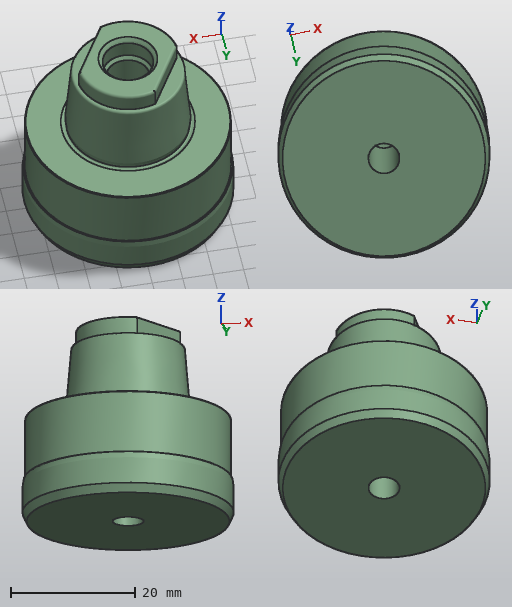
import cadquery as cq
import math

TOTAL_HEIGHT = 31.95
BODY_HEIGHT = 17.0
BOSS_HEIGHT = 2.95
SHOULDER_Z = TOTAL_HEIGHT - BOSS_HEIGHT

COLLAR_RADIUS = 17.01
BOTTOM_CHAMFER_WIDTH = 0.7
BOTTOM_CHAMFER_HEIGHT = 1.45
COLLAR_BEVEL_START_Z = 5.7
COLLAR_BEVEL_END_Z = 6.75
COLLAR_BEVEL_WIDTH = 0.15

BODY_RADIUS = 16.6
BODY_EDGE_CHAMFER = 0.15

NECK_FOOT_RADIUS = 10.0
NECK_BASE_RADIUS = 10.1
NECK_TOP_RADIUS = 9.15
NECK_FOOT_TOP_Z = BODY_HEIGHT + 0.4
NECK_BASE_Z = BODY_HEIGHT + 1.0
NECK_TOP_FILLET = 0.42
GROOVE_RADIUS = 10.8
GROOVE_DEPTH = 0.3
GROOVE_FILLET = 0.25

BOSS_RADIUS = 8.42
FLAT_WIDTH = 13.0
FLAT_NORMAL_ANGLE = -30.0
BOSS_FILLET = 0.5

MOUTH_RADIUS = 4.75
MOUTH_CHAMFER = 0.45
LEAD_IN_HEIGHT = 0.3
COUNTERBORE_RADIUS = 4.07
COUNTERBORE_DEPTH = 3.6
BORE_RADIUS = 3.5
BORE_DEPTH = 16.0
DRILL_POINT_ANGLE = 118.0
THROUGH_RADIUS = 2.5


def make_body():
    """Collar, cylinder and tapered neck, revolved about Z."""
    groove_z = BODY_HEIGHT - GROOVE_DEPTH
    profile = (
        cq.Workplane("XZ")
        .moveTo(0, 0)
        .lineTo(COLLAR_RADIUS - BOTTOM_CHAMFER_WIDTH, 0)
        .lineTo(COLLAR_RADIUS, BOTTOM_CHAMFER_HEIGHT)
        .lineTo(COLLAR_RADIUS, COLLAR_BEVEL_START_Z)
        .lineTo(COLLAR_RADIUS - COLLAR_BEVEL_WIDTH, COLLAR_BEVEL_END_Z)
        .lineTo(BODY_RADIUS, COLLAR_BEVEL_END_Z)
        .lineTo(BODY_RADIUS, BODY_HEIGHT - BODY_EDGE_CHAMFER)
        .lineTo(BODY_RADIUS - BODY_EDGE_CHAMFER, BODY_HEIGHT)
        .lineTo(GROOVE_RADIUS, BODY_HEIGHT)
        .lineTo(NECK_FOOT_RADIUS, groove_z)
        .lineTo(NECK_FOOT_RADIUS, NECK_FOOT_TOP_Z)
        .lineTo(NECK_BASE_RADIUS, NECK_BASE_Z)
        .lineTo(NECK_TOP_RADIUS, SHOULDER_Z)
        .lineTo(0, SHOULDER_Z)
        .close()
    )
    body = profile.revolve(360, (0, 0, 0), (0, 1, 0))
    in_groove = cq.selectors.BoxSelector(
        (-BODY_RADIUS, -BODY_RADIUS, groove_z - GROOVE_DEPTH / 2),
        (BODY_RADIUS, BODY_RADIUS, groove_z + GROOVE_DEPTH / 2),
    )
    body = body.edges("%CIRCLE").edges(in_groove).fillet(GROOVE_FILLET)
    return body.faces(">Z").edges().fillet(NECK_TOP_FILLET)


def make_boss():
    """Disc cut to two flats, with its top edge rounded all the way round."""
    disc = cq.Workplane("XY").workplane(offset=SHOULDER_Z).circle(BOSS_RADIUS).extrude(BOSS_HEIGHT)
    between_flats = (
        cq.Workplane("XY")
        .workplane(offset=SHOULDER_Z)
        .rect(FLAT_WIDTH, 2 * BOSS_RADIUS)
        .extrude(BOSS_HEIGHT)
        .rotate((0, 0, 0), (0, 0, 1), FLAT_NORMAL_ANGLE)
    )
    return disc.intersect(between_flats).faces(">Z").edges().fillet(BOSS_FILLET)


def make_hole():
    """Chamfered mouth, counterbore, drilled bore and through hole."""
    mouth_bottom_radius = MOUTH_RADIUS - MOUTH_CHAMFER
    mouth_bottom_z = TOTAL_HEIGHT - MOUTH_CHAMFER
    counterbore_z = TOTAL_HEIGHT - COUNTERBORE_DEPTH
    bore_entry_z = counterbore_z - (COUNTERBORE_RADIUS - BORE_RADIUS)
    bore_z = TOTAL_HEIGHT - BORE_DEPTH
    point_height = (BORE_RADIUS - THROUGH_RADIUS) / math.tan(math.radians(DRILL_POINT_ANGLE / 2))
    profile = (
        cq.Workplane("XZ")
        .moveTo(0, 0)
        .lineTo(THROUGH_RADIUS, 0)
        .lineTo(THROUGH_RADIUS, bore_z - point_height)
        .lineTo(BORE_RADIUS, bore_z)
        .lineTo(BORE_RADIUS, bore_entry_z)
        .lineTo(COUNTERBORE_RADIUS, counterbore_z)
        .lineTo(COUNTERBORE_RADIUS, mouth_bottom_z - LEAD_IN_HEIGHT)
        .lineTo(mouth_bottom_radius, mouth_bottom_z)
        .lineTo(MOUTH_RADIUS, TOTAL_HEIGHT)
        .lineTo(0, TOTAL_HEIGHT)
        .close()
    )
    return profile.revolve(360, (0, 0, 0), (0, 1, 0))


result = make_body().union(make_boss()).cut(make_hole())